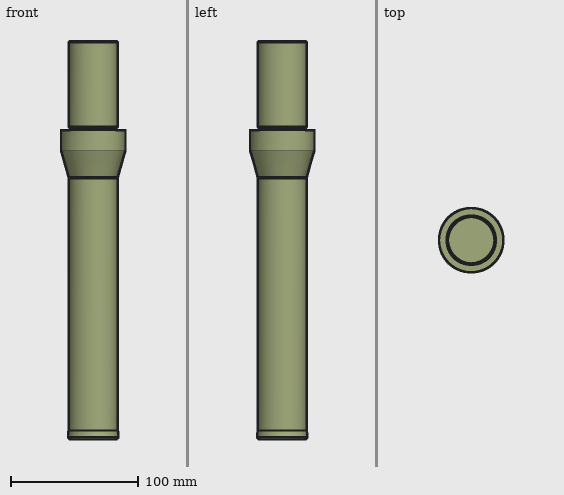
import cadquery as cq

total_length = 313.2
shaft_radius = 19.5
neck_radius = 18.5
collar_radius = 25.5

top_chamfer = 1.3
foot_height = 7.2
foot_step = 0.15
foot_rim_radius = 20.0
foot_rim_height = 2.0
foot_bottom_radius = 18.2

collar_bottom = 206.0
collar_top = 243.0
cone_top = 227.0
neck_chamfer = shaft_radius - neck_radius
neck_top = 245.0


def revolve_profile(points):
    """Turn a closed (radius, height) profile about the Z axis."""
    return cq.Workplane("XZ").polyline(points).close().revolve(360, (0, 0, 0), (0, 1, 0))


def make_shaft():
    """Round shaft with a flared foot, a chamfered neck and a chamfered top."""
    foot_radius = shaft_radius + foot_step
    return revolve_profile([
        (0, 0),
        (foot_bottom_radius, 0),
        (foot_rim_radius, foot_rim_height),
        (foot_radius, foot_height - foot_step),
        (shaft_radius, foot_height),
        (shaft_radius, collar_bottom - neck_chamfer),
        (neck_radius, collar_bottom),
        (neck_radius, neck_top),
        (shaft_radius, neck_top + neck_chamfer),
        (shaft_radius, total_length - top_chamfer),
        (shaft_radius - top_chamfer, total_length),
        (0, total_length),
    ])


def make_collar():
    """Ring around the neck: a straight band above a cone that narrows to the shaft."""
    return revolve_profile([
        (neck_radius, collar_bottom),
        (shaft_radius, collar_bottom),
        (collar_radius, cone_top),
        (collar_radius, collar_top),
        (neck_radius, collar_top),
    ])


shaft = make_shaft()
collar = make_collar()
result = cq.Compound.makeCompound([shaft.val(), collar.val()])